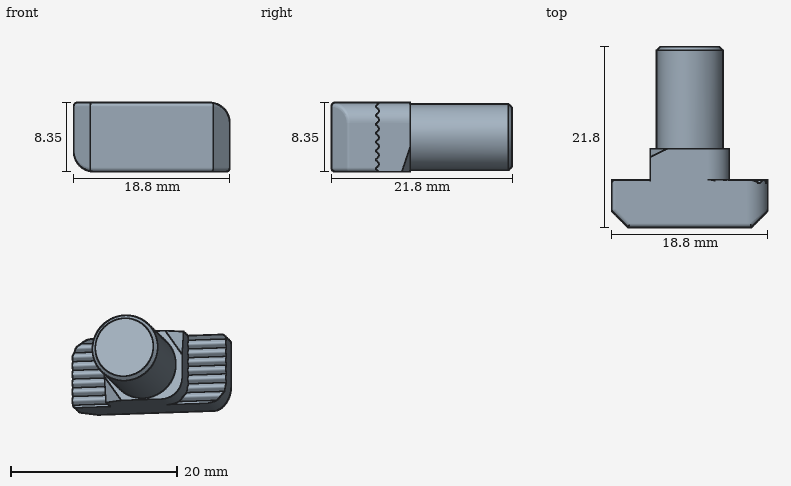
import cadquery as cq
import math

head_width = 18.8
height = 8.35
head_depth = 5.75
neck_width = 9.5
neck_depth = 3.75
total_length = 21.75
turn_radius = 2.5
head_chamfer = 2.0
edge_radius = 0.5
tolerance = 0.002

shank_diameter = 8.0
shank_chamfer = 0.45

corner_cut_x = 2.07
corner_cut_y = 1.0
corner_cut_z = 2.98

tooth_pitch = 1.07
tooth_depth = 0.41
tooth_crest_radius = 0.28
first_groove_drop = 0.5
groove_count = 8

neck_back = head_depth + neck_depth


def turning_block(width, start, depth):
    """Block along Y, rounded at its (+X, +Z) and (-X, -Z) edges."""
    block = cq.Workplane("XY").box(width, depth, height).translate((0, start + depth / 2, 0))
    for sign in (1, -1):
        corner = (sign * width / 2, start + depth / 2, sign * height / 2)
        block = block.edges(cq.selectors.NearestToPointSelector(corner)).fillet(turn_radius)
    return block


def is_rounded(edge):
    """True for the front outline of the head and its two sharp long corners."""
    center = edge.Center()
    on_top_or_bottom = abs(center.z) > height / 2 - tolerance
    on_side = abs(center.x) > head_width / 2 - tolerance
    on_rear = center.y > head_depth - tolerance
    along_front = center.y < head_chamfer + tolerance
    between_front_faces = center.y < tolerance and abs(center.z) < height / 4
    long_corner = on_top_or_bottom and on_side and not on_rear
    return long_corner or (along_front and not between_front_faces)


def make_head():
    half = head_width / 2
    head = turning_block(head_width, 0, head_depth)
    plan = (
        cq.Workplane("XY")
        .workplane(offset=-height / 2)
        .moveTo(half - head_chamfer, 0)
        .lineTo(half, head_chamfer)
        .lineTo(half, head_depth)
        .lineTo(-half, head_depth)
        .lineTo(-half, head_chamfer)
        .lineTo(head_chamfer - half, 0)
        .close()
        .extrude(height)
    )
    head = head.intersect(plan)
    return head.newObject([e for e in head.edges().vals() if is_rounded(e)]).fillet(edge_radius)


def cut_serrations(head):
    """Cut grooves along X into the rear face: sharp roots with rounded crests between."""
    half_pitch = tooth_pitch / 2
    root_y = head_depth - tooth_depth
    crest_half = tooth_crest_radius * math.sin(math.pi / 4)
    flank = half_pitch - crest_half
    groove_start = height / 2 - first_groove_drop
    profile = cq.Workplane("YZ").moveTo(head_depth, height / 2).lineTo(root_y, groove_start)
    for index in range(groove_count - 1):
        root_z = groove_start - index * tooth_pitch
        profile = (
            profile.lineTo(root_y + flank, root_z - flank)
            .threePointArc(
                (head_depth, root_z - half_pitch),
                (root_y + flank, root_z - tooth_pitch + flank),
            )
            .lineTo(root_y, root_z - tooth_pitch)
        )
    last_root = groove_start - (groove_count - 1) * tooth_pitch
    cutter = (
        profile.lineTo(head_depth, last_root - tooth_depth)
        .lineTo(head_depth + tooth_depth, last_root - tooth_depth)
        .lineTo(head_depth + tooth_depth, height / 2)
        .close()
        .extrude(head_width / 2, both=True)
    )
    return head.cut(cutter)


def corner_wedge():
    """Tetrahedron that takes off the (-X, +Y, +Z) corner of the neck."""
    corner = cq.Vector(-neck_width / 2, neck_back, height / 2)
    points = [
        corner,
        corner + cq.Vector(corner_cut_x, 0, 0),
        corner - cq.Vector(0, corner_cut_y, 0),
        corner - cq.Vector(0, 0, corner_cut_z),
    ]
    faces = []
    for skipped in points:
        triangle = [point for point in points if point is not skipped]
        faces.append(cq.Face.makeFromWires(cq.Wire.makePolygon(triangle, close=True)))
    return cq.Workplane(cq.Solid.makeSolid(cq.Shell.makeShell(faces)))


def make_neck():
    """Neck rooted in the head below the serrations, with its two sharp rear corners cut off."""
    root = head_depth - 2 * tooth_depth
    neck = turning_block(neck_width, root, neck_back - root)
    wedge = corner_wedge()
    opposite_wedge = wedge.rotate((0, 0, 0), (0, 1, 0), 180)
    return neck.cut(wedge).cut(opposite_wedge)


def make_shank():
    return (
        cq.Workplane("XZ", origin=(0, neck_back, 0))
        .circle(shank_diameter / 2)
        .extrude(neck_back - total_length)
        .faces(">Y")
        .chamfer(shank_chamfer)
    )


result = cut_serrations(make_head()).union(make_neck()).union(make_shank())